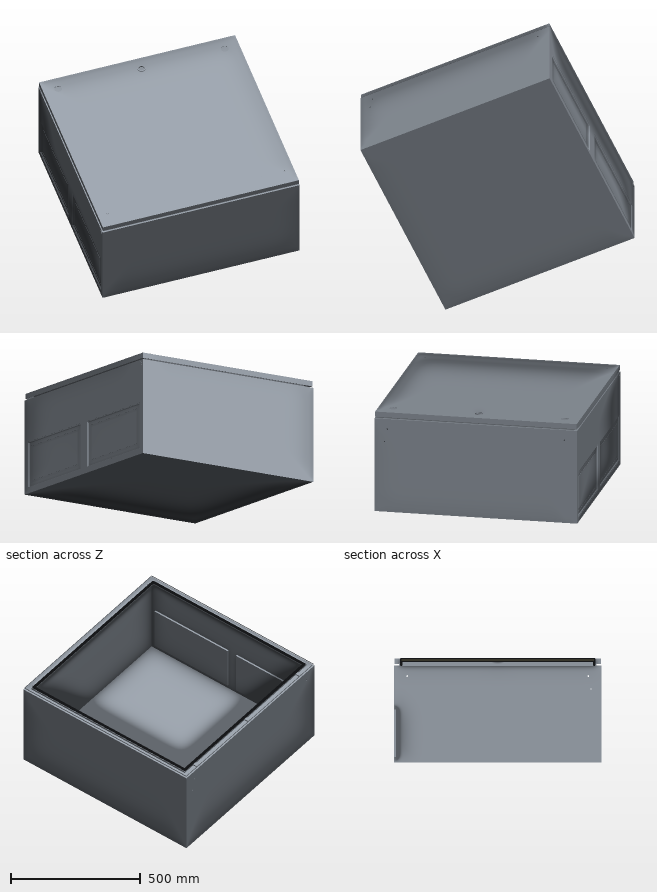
import cadquery as cq

SHEET = 1.3
HOUSING_SIZE = 800.0
HOUSING_HEIGHT = 374.5
CENTRE_Y = 1.0
TOTAL_HEIGHT = 404.0
FRONT_Y = CENTRE_Y - HOUSING_SIZE / 2
SIDE_X = -HOUSING_SIZE / 2

COLLAR_X = 752.0
COLLAR_Y = 762.0
COLLAR_WALL = 2.0
COLLAR_HEIGHT = 8.0

LUG_HEIGHT = 5.0
CATCH_LENGTH = 18.0
CATCH_WIDTH = 14.0
CATCH_SPACING = 320.0
HINGE_LENGTH = 7.0
HINGE_WIDTH = 12.0

BOSS_X = 384.0
BOSS_Z = 358.5
BOSS_DIAMETER = 17.0
BOSS_HEIGHT = 2.0
SIDE_HOLE_SPAN = 699.0
SIDE_HOLE_Z = 334.0
SIDE_HOLE_DIAMETER = 6.5
SMALL_HOLE_Y = 361.0
SMALL_HOLE_Z = 283.0
SMALL_HOLE_DIAMETER = 5.0

PLATE_WIDTH = 358.5
PLATE_HEIGHT = 184.5
PLATE_MARGIN = 21.0
PLATE_RIM_DEPTH = 1.0
PLATE_RIM_WIDTH = 3.0
PLATE_SLOPE_WIDTH = 2.5
PLATE_FLOOR_DEPTH = 4.0
PLATE_BACK_DEPTH = 8.0
GROOVE_INSET = 18.5
GROOVE_WIDTH = 9.0
GROOVE_DEPTH = 1.0
PLATE_X = HOUSING_SIZE / 2 - PLATE_MARGIN - PLATE_WIDTH / 2
PLATE_Z = PLATE_MARGIN + PLATE_HEIGHT / 2

DOOR_SIZE = 795.5
DOOR_BOTTOM = 380.0
DOOR_TOP = 401.0
SHEET_UNDERSIDE = DOOR_TOP - SHEET
PANEL_X = 747.5
PANEL_Y = 752.0
PANEL_STEP = 1.0
PANEL_THICKNESS = 10.0
SIDE_NOTCH_DEPTH = 7.0
SIDE_NOTCH_LENGTH = 637.0
SKIRT_WALL = 6.5
CORNER_PATCH = 14.0
CORNER_PATCH_THICKNESS = 2.0
PANEL_BOTTOM = SHEET_UNDERSIDE - PANEL_THICKNESS

LOCK_X = -342.5
KNOB_DIAMETER = 30.0
BLANK_SPACING = 338.5
PIN_X = 337.0
PIN_SPACING = 359.0
PIN_DIAMETER = 8.0
LOCK_BODY_DIAMETER = 44.0
KEY_DIAMETER = 22.5
KEY_DEPTH = 5.0


def block(size_x, size_y, z_bottom, z_top, x=0, y=CENTRE_Y):
    """Upright block between two heights, centred at (x, y)."""
    base = cq.Workplane("XY", origin=(x, y, z_bottom))
    return base.rect(size_x, size_y).extrude(z_top - z_bottom)


def disc(diameter, z_bottom, z_top, x, y):
    """Upright cylinder between two heights."""
    base = cq.Workplane("XY", origin=(x, y, z_bottom))
    return base.circle(diameter / 2).extrude(z_top - z_bottom)


def front_plane(x, z, depth=0.0):
    """Workplane parallel to the front wall, with its normal pointing into the housing."""
    plane = cq.Plane(origin=(x, FRONT_Y + depth, z), xDir=(1, 0, 0), normal=(0, 1, 0))
    return cq.Workplane(plane)


def make_lugs():
    """Catches along the lock side of the rim and hinge lugs along the other side."""
    lug_bottom = HOUSING_HEIGHT - SHEET
    lug_top = HOUSING_HEIGHT + LUG_HEIGHT
    catch_x = -(COLLAR_X + CATCH_LENGTH) / 2
    hinge_x = (COLLAR_X + HINGE_LENGTH) / 2
    lugs = cq.Workplane()
    for step in (-1, 0, 1):
        catch_y = CENTRE_Y + step * CATCH_SPACING
        lugs = lugs.add(block(CATCH_LENGTH, CATCH_WIDTH, lug_bottom, lug_top, catch_x, catch_y))
    for side in (-1, 1):
        hinge_y = CENTRE_Y + side * PIN_SPACING
        lugs = lugs.add(block(HINGE_LENGTH, HINGE_WIDTH, lug_bottom, lug_top, hinge_x, hinge_y))
    return lugs.combine()


def make_housing():
    """Sheet box with a collar around the door opening and two plate openings in the front."""
    body = block(HOUSING_SIZE, HOUSING_SIZE, 0, HOUSING_HEIGHT)
    inner_size = HOUSING_SIZE - 2 * SHEET
    body = body.cut(block(inner_size, inner_size, SHEET, HOUSING_HEIGHT - SHEET))
    body = body.union(block(COLLAR_X, COLLAR_Y, HOUSING_HEIGHT - SHEET, HOUSING_HEIGHT + COLLAR_HEIGHT))
    body = body.union(make_lugs())
    opening_x = COLLAR_X - 2 * COLLAR_WALL
    opening_y = COLLAR_Y - 2 * COLLAR_WALL
    body = body.cut(block(opening_x, opening_y, HOUSING_HEIGHT - SHEET, TOTAL_HEIGHT))

    for x in (-PLATE_X, PLATE_X):
        body = body.cut(front_plane(x, PLATE_Z).rect(PLATE_WIDTH, PLATE_HEIGHT).extrude(SHEET))

    boss = front_plane(BOSS_X, BOSS_Z, -BOSS_HEIGHT).circle(BOSS_DIAMETER / 2)
    body = body.union(boss.extrude(BOSS_HEIGHT + SHEET))

    side_holes = [
        (CENTRE_Y - SIDE_HOLE_SPAN / 2, SIDE_HOLE_Z, SIDE_HOLE_DIAMETER),
        (CENTRE_Y + SIDE_HOLE_SPAN / 2, SIDE_HOLE_Z, SIDE_HOLE_DIAMETER),
        (SMALL_HOLE_Y, SMALL_HOLE_Z, SMALL_HOLE_DIAMETER),
    ]
    for y, z, diameter in side_holes:
        hole = cq.Workplane("YZ", origin=(SIDE_X, y, z)).circle(diameter / 2).extrude(SHEET)
        body = body.cut(hole)
    return body


def make_plate(x):
    """Flange plate filling a front opening: dished face with a rectangular groove."""
    plate = front_plane(x, PLATE_Z, PLATE_RIM_DEPTH).rect(PLATE_WIDTH, PLATE_HEIGHT)
    plate = plate.extrude(PLATE_BACK_DEPTH - PLATE_RIM_DEPTH)

    mouth_inset = 2 * PLATE_RIM_WIDTH
    floor_inset = mouth_inset + 2 * PLATE_SLOPE_WIDTH
    dish = front_plane(x, PLATE_Z, PLATE_RIM_DEPTH)
    dish = dish.rect(PLATE_WIDTH - mouth_inset, PLATE_HEIGHT - mouth_inset)
    dish = dish.workplane(offset=PLATE_FLOOR_DEPTH - PLATE_RIM_DEPTH)
    dish = dish.rect(PLATE_WIDTH - floor_inset, PLATE_HEIGHT - floor_inset).loft(ruled=True)
    plate = plate.cut(dish)

    outer_inset = 2 * GROOVE_INSET
    inner_inset = outer_inset + 2 * GROOVE_WIDTH
    groove = front_plane(x, PLATE_Z, PLATE_FLOOR_DEPTH)
    groove = groove.rect(PLATE_WIDTH - outer_inset, PLATE_HEIGHT - outer_inset)
    groove = groove.rect(PLATE_WIDTH - inner_inset, PLATE_HEIGHT - inner_inset).extrude(GROOVE_DEPTH)
    return plate.cut(groove)


def make_inner_panel():
    """Panel under the door sheet, notched along both sides, with a skirt reaching the housing rim."""
    panel = block(PANEL_X, PANEL_Y, HOUSING_HEIGHT, SHEET_UNDERSIDE)
    hollow_x = PANEL_X - 2 * SKIRT_WALL
    hollow_y = PANEL_Y - 2 * SKIRT_WALL
    panel = panel.cut(block(hollow_x, hollow_y, HOUSING_HEIGHT, PANEL_BOTTOM))
    notch_bottom = SHEET_UNDERSIDE - PANEL_STEP
    for side in (-1, 1):
        notch_x = side * PANEL_X / 2
        panel = panel.cut(
            block(2 * SIDE_NOTCH_DEPTH, SIDE_NOTCH_LENGTH, notch_bottom, SHEET_UNDERSIDE, notch_x)
        )
    return panel


def make_door():
    """Sheet tray with its inner panel, corner patches, blind recesses and lock seat."""
    door = block(DOOR_SIZE, DOOR_SIZE, DOOR_BOTTOM, DOOR_TOP)
    inner_size = DOOR_SIZE - 2 * SHEET
    door = door.cut(block(inner_size, inner_size, DOOR_BOTTOM, SHEET_UNDERSIDE))
    door = door.union(make_inner_panel())

    patch_place = (inner_size - CORNER_PATCH) / 2
    patch_bottom = SHEET_UNDERSIDE - CORNER_PATCH_THICKNESS
    for x in (-patch_place, patch_place):
        for y in (CENTRE_Y - patch_place, CENTRE_Y + patch_place):
            door = door.union(block(CORNER_PATCH, CORNER_PATCH, patch_bottom, SHEET_UNDERSIDE, x, y))

    for side in (-1, 1):
        blank_y = CENTRE_Y + side * BLANK_SPACING
        pin_y = CENTRE_Y + side * PIN_SPACING
        door = door.cut(disc(KNOB_DIAMETER, SHEET_UNDERSIDE, DOOR_TOP, LOCK_X, blank_y))
        door = door.cut(disc(PIN_DIAMETER, SHEET_UNDERSIDE, DOOR_TOP, PIN_X, pin_y))

    door = door.cut(disc(KNOB_DIAMETER, SHEET_UNDERSIDE, DOOR_TOP, LOCK_X, CENTRE_Y))
    return door.cut(disc(LOCK_BODY_DIAMETER, PANEL_BOTTOM, SHEET_UNDERSIDE, LOCK_X, CENTRE_Y))


def make_lock():
    """Lock: a wide body under the door sheet and a round knob with a key recess above it."""
    lock = disc(LOCK_BODY_DIAMETER, PANEL_BOTTOM, SHEET_UNDERSIDE, LOCK_X, CENTRE_Y)
    lock = lock.union(disc(KNOB_DIAMETER, SHEET_UNDERSIDE, TOTAL_HEIGHT, LOCK_X, CENTRE_Y))
    return lock.cut(disc(KEY_DIAMETER, TOTAL_HEIGHT - KEY_DEPTH, TOTAL_HEIGHT, LOCK_X, CENTRE_Y))


housing = make_housing()
plates = [make_plate(x) for x in (-PLATE_X, PLATE_X)]
door = make_door()
lock = make_lock()

result = cq.Compound.makeCompound(
    [housing.val(), door.val(), lock.val(), *[plate.val() for plate in plates]]
)